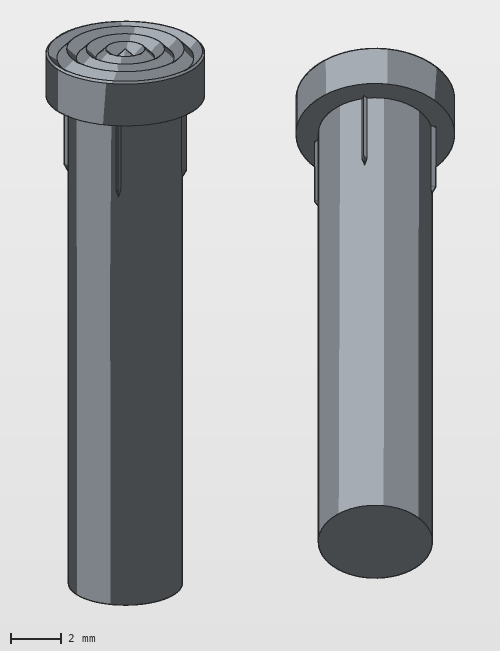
import cadquery as cq

total_height = 23.12
head_diameter = 6.34
head_height = 2.0
shank_diameter = 4.56

ridge_spacing = 0.78
groove_depth = ridge_spacing / 2
ring_count = 3
rim_drop = 0.1
rim_bevel = 0.09

key_count = 4
key_start_angle = 243.5
key_protrusion = 0.18
key_width = 0.21
key_length = 3.45
key_tip_length = 0.33
key_root_depth = 0.1

head_radius = head_diameter / 2
shank_radius = shank_diameter / 2
head_bottom = total_height - head_height


def make_body():
    """Revolve the shank and the head with its ridged face."""
    rim_radius = head_radius - rim_bevel
    rim_top = total_height - rim_drop
    valley_height = total_height - groove_depth
    profile = (
        cq.Workplane("XZ")
        .lineTo(shank_radius, 0)
        .lineTo(shank_radius, head_bottom)
        .lineTo(head_radius, head_bottom)
        .lineTo(head_radius, rim_top - rim_bevel)
        .lineTo(rim_radius, rim_top)
    )
    for ring in range(ring_count, -1, -1):
        ridge_radius = ring * ridge_spacing
        profile = profile.lineTo(ridge_radius + ridge_spacing / 2, valley_height)
        profile = profile.lineTo(ridge_radius, total_height)
    return profile.close().revolve(360, (0, 0, 0), (0, 1, 0))


def make_key():
    """V rib on the +X side; its root is sunk into the shank with the same flank slopes."""
    root_scale = (key_protrusion + key_root_depth) / key_protrusion
    root_half_width = key_width / 2 * root_scale
    root_radius = shank_radius - key_root_depth
    crest_radius = shank_radius + key_protrusion
    straight_end = head_bottom - key_length + key_tip_length

    def section(height):
        return [
            cq.Vector(root_radius, -root_half_width, height),
            cq.Vector(crest_radius, 0, height),
            cq.Vector(root_radius, root_half_width, height),
        ]

    top = section(head_bottom)
    lower = section(straight_end)
    point = cq.Vector(root_radius, 0, straight_end - key_tip_length * root_scale)

    outlines = [
        top,
        [top[0], top[1], lower[1], lower[0]],
        [top[1], top[2], lower[2], lower[1]],
        [lower[0], lower[1], point],
        [lower[1], lower[2], point],
        [top[0], lower[0], point, lower[2], top[2]],
    ]
    faces = [cq.Face.makeFromWires(cq.Wire.makePolygon(outline, close=True)) for outline in outlines]
    return cq.Workplane(cq.Solid.makeSolid(cq.Shell.makeShell(faces)))


pin = make_body()
for index in range(key_count):
    pin = pin.union(make_key().rotate((0, 0, 0), (0, 0, 1), index * 360 / key_count))

result = pin.rotate((0, 0, 0), (0, 0, 1), key_start_angle)